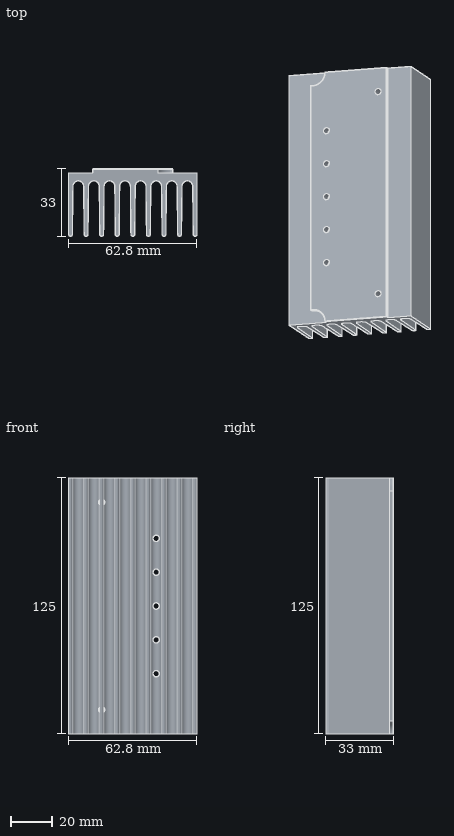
import cadquery as cq
import math

width = 62.8
length = 125.0
body_depth = 31.0
back_y = body_depth / 2
fin_tip_y = -body_depth / 2

fin_count = 9
fin_thickness = 2.0
tip_radius = fin_thickness / 2
tip_start_y = fin_tip_y + tip_radius
fin_pitch = (width - fin_thickness) / (fin_count - 1)

channel_count = fin_count - 1
web_thickness = 4.0
channel_root_y = back_y - web_thickness
root_radius = 2.55
mouth_half_width = (fin_pitch - fin_thickness) / 2

pad_width = 39.2
pad_height = 2.0
pad_face_y = back_y + pad_height
pad_edge_chamfer = 0.3

notch_radius = 6.3
notch_inset = 1.0
notch_center_x = pad_width / 2 - notch_inset

hole_diameter = 3.0
hole_spacing = 16.5
hole_count = 5
hole_channel = 5
hole_depth = pad_height + 2 * web_thickness

blind_diameter = 3.0
blind_depth = 10.0
blind_spacing = 101.2
blind_fin = 2


def fin_center(index):
    return -width / 2 + fin_thickness / 2 + index * fin_pitch


def channel_center(index):
    return fin_center(index) + fin_pitch / 2


def root_tangent():
    """Half-width and Y where a wall from the fin tip's start touches the root arc."""
    arc_center_y = channel_root_y - root_radius
    rise = arc_center_y - tip_start_y
    distance = math.hypot(mouth_half_width, rise)
    angle = math.acos(root_radius / distance) - math.atan2(rise, mouth_half_width)
    return root_radius * math.cos(angle), arc_center_y + root_radius * math.sin(angle)


def make_finned_body():
    tangent_half_width, tangent_y = root_tangent()
    profile = cq.Workplane("XY", origin=(0, 0, -length / 2)).moveTo(-width / 2, back_y)
    for i in range(fin_count):
        fin_x = fin_center(i)
        profile = profile.lineTo(fin_x - tip_radius, tip_start_y)
        profile = profile.threePointArc((fin_x, fin_tip_y), (fin_x + tip_radius, tip_start_y))
        if i < channel_count:
            channel_x = channel_center(i)
            profile = profile.lineTo(channel_x - tangent_half_width, tangent_y)
            profile = profile.threePointArc(
                (channel_x, channel_root_y), (channel_x + tangent_half_width, tangent_y)
            )
    return profile.lineTo(width / 2, back_y).close().extrude(length)


def drill(x, z, diameter, depth):
    """Cylinder running from the pad face toward -Y."""
    return cq.Workplane("XZ", origin=(x, pad_face_y, z)).circle(diameter / 2).extrude(depth)


def make_pad_notch(z):
    notch_size = 2 * notch_radius
    round_end = drill(notch_center_x, z, notch_size, pad_height)
    side_opening = cq.Workplane("XY").box(notch_size, pad_height, notch_size)
    side_position = (notch_center_x + notch_radius, back_y + pad_height / 2, z)
    return round_end.union(side_opening.translate(side_position))


def make_pad():
    pad = cq.Workplane("XY").box(pad_width, pad_height, length)
    pad = pad.translate((0, back_y + pad_height / 2, 0))
    for end in (-1, 1):
        pad = pad.cut(make_pad_notch(end * length / 2))
    return pad.faces(">Y").chamfer(pad_edge_chamfer)


def cut_through_holes(body):
    for i in range(hole_count):
        z = (i - (hole_count - 1) / 2) * hole_spacing
        body = body.cut(drill(channel_center(hole_channel), z, hole_diameter, hole_depth))
    return body


def cut_blind_holes(body):
    for end in (-1, 1):
        z = end * blind_spacing / 2
        body = body.cut(drill(fin_center(blind_fin), z, blind_diameter, blind_depth))
    return body


body = make_finned_body().union(make_pad())
body = cut_through_holes(body)
result = cut_blind_holes(body)